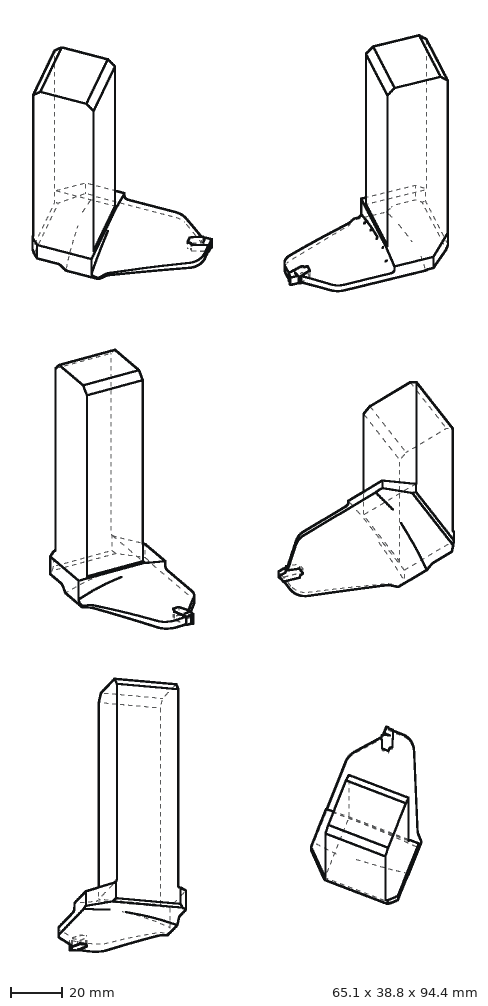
import cadquery as cq
import math


SHANK_SIZE = 25.0
SHANK_FRONT = 4.0
SHANK_BACK = SHANK_FRONT + SHANK_SIZE
SHANK_TOP = 94.39
SHANK_CHAMFER = 3.0

HEAD_DEPTH = 38.75
HEAD_LEDGE = 0.55
HEAD_RIGHT = SHANK_SIZE + HEAD_LEDGE
BEVEL_REACH = 5.0
SHELF_Z = 10.5
FRONT_FILLET = 0.5
BACK_FILLET = 1.3
BACK_SLOPE = math.radians(10)
BACK_EDGE_Z = 8.7
FRONT_CORNER = 3.1
HEAD_LEFT_BACK = 29.3
BACK_CORNER = HEAD_DEPTH - HEAD_LEFT_BACK
PAD_Z = 2.7
PAD_END = 12.3
PAD_EDGE_CHAMFER = 1.1
STEP_FILLET = 2.0
STEP_ANGLE = math.radians(45)
RELIEF_MARGIN = 1.0

CREST_Y = 28.5
BLADE_TOP_Z = 6.15
BLADE_TOP_RADIUS = 78.0
BLADE_BOTTOM_RADIUS = CREST_Y**2 / (2 * PAD_Z) + PAD_Z / 2
BLADE_END = 64.6
BLADE_ROOT_FILLET = 1.4
BLADE_FRONT_START = 28.5
FRONT_EDGE_KNEE = (31.1, 2.6)
FRONT_EDGE_ANGLE = math.radians(23.8)
KNEE_RADIUS = 5.4
NOSE_RADIUS = 7.0
BACK_EDGE_KNEE_X = 49.2
BACK_EDGE_ANGLE = math.radians(40)
BACK_KNEE_RADIUS = 8.0

TIP_X = 65.1
TIP_BACK = 29.0
TIP_FRONT = 26.4
TIP_LEFT = 61.7
TIP_WALL_TOP_X = 62.3
INSERT_BOTTOM_Z = 2.5
INSERT_TOP_Z = 6.2
TIP_TOP_Z = 6.5
FLANK_X = 64.8
FLANK_Y = 28.0
INSERT_LEFT = 56.4
INSERT_LEFT_FRONT = 24.7
INSERT_LEFT_BACK = 27.3
INSERT_NOTCH = (57.7, INSERT_LEFT_FRONT)
INSERT_FRONT_CORNER = (58.45, 23.9)
INSERT_FRONT_RIGHT = (FLANK_X, 26.0)
INSERT_BACK_CORNER = (61.2, 29.5)


def circle_z(y, crest_z, radius):
    """Height at y of an arched face with its crest at CREST_Y."""
    return crest_z - radius + math.sqrt(radius**2 - (y - CREST_Y) ** 2)


def arch_point(y, crest_z, radius):
    return (y, circle_z(y, crest_z, radius))


def bottom_point(y):
    return arch_point(y, PAD_Z, BLADE_BOTTOM_RADIUS)


def top_point(y):
    return arch_point(y, BLADE_TOP_Z, BLADE_TOP_RADIUS)


def make_plan():
    """Vertical prism with the plan outline of head and blade."""
    nose_y = FRONT_EDGE_KNEE[1] + (BLADE_END - FRONT_EDGE_KNEE[0]) * math.tan(FRONT_EDGE_ANGLE)
    end_back_y = HEAD_DEPTH - (BLADE_END - BACK_EDGE_KNEE_X) * math.tan(BACK_EDGE_ANGLE)
    outline = [
        (0, FRONT_CORNER),
        (FRONT_CORNER, 0),
        (BLADE_FRONT_START, 0),
        FRONT_EDGE_KNEE,
        (BLADE_END, nose_y),
        (BLADE_END, end_back_y),
        (BACK_EDGE_KNEE_X, HEAD_DEPTH),
        (BACK_CORNER, HEAD_DEPTH),
        (0, HEAD_LEFT_BACK),
    ]
    plan = cq.Workplane("XY").polyline(outline).close().extrude(SHANK_TOP)
    for corner, radius in (
        (FRONT_EDGE_KNEE, KNEE_RADIUS),
        ((BLADE_END, nose_y), NOSE_RADIUS),
        ((BACK_EDGE_KNEE_X, HEAD_DEPTH), BACK_KNEE_RADIUS),
    ):
        nearest = cq.selectors.NearestToPointSelector((*corner, SHANK_TOP / 2))
        plan = plan.edges(nearest).fillet(radius)
    return plan


def make_shank():
    shank = (
        cq.Workplane("XY")
        .workplane(offset=SHELF_Z)
        .box(SHANK_SIZE, SHANK_SIZE, SHANK_TOP - SHELF_Z, centered=False)
        .translate((0, SHANK_FRONT, 0))
    )
    return shank.faces(">Z").edges("|Y").chamfer(SHANK_CHAMFER)


def make_head():
    """Head section extruded along X, rounded into the front and back of the shank."""
    front_mid = FRONT_FILLET * (1 - math.sqrt(0.5))
    slope_at_shank = BACK_EDGE_Z + (HEAD_DEPTH - SHANK_BACK) * math.tan(BACK_SLOPE)
    centre_y = SHANK_BACK + BACK_FILLET
    centre_z = slope_at_shank - BACK_FILLET * math.tan(BACK_SLOPE) + BACK_FILLET / math.cos(BACK_SLOPE)

    def back_arc(angle):
        """Point on the back fillet, with the angle measured from the downward direction."""
        return (centre_y - BACK_FILLET * math.sin(angle), centre_z - BACK_FILLET * math.cos(angle))

    head = (
        cq.Workplane("YZ")
        .moveTo(*bottom_point(0))
        .lineTo(0, SHELF_Z)
        .lineTo(SHANK_FRONT - FRONT_FILLET, SHELF_Z)
        .threePointArc(
            (SHANK_FRONT - front_mid, SHELF_Z + front_mid),
            (SHANK_FRONT, SHELF_Z + FRONT_FILLET),
        )
        .lineTo(SHANK_BACK, centre_z)
        .threePointArc(back_arc(math.pi / 4), back_arc(BACK_SLOPE))
        .lineTo(HEAD_DEPTH, BACK_EDGE_Z)
        .lineTo(*bottom_point(HEAD_DEPTH))
        .threePointArc(bottom_point(HEAD_DEPTH / 2), bottom_point(0))
        .close()
        .extrude(HEAD_RIGHT)
    )
    ledge_bevel = (
        cq.Workplane("XZ")
        .moveTo(HEAD_RIGHT, SHELF_Z)
        .lineTo(HEAD_RIGHT, SHELF_Z + BEVEL_REACH)
        .lineTo(SHANK_SIZE, SHELF_Z + BEVEL_REACH)
        .lineTo(SHANK_SIZE, SHELF_Z + HEAD_LEDGE)
        .close()
        .extrude(-HEAD_DEPTH)
    )
    return head.cut(ledge_bevel)


def make_blade():
    return (
        cq.Workplane("YZ")
        .moveTo(*bottom_point(0))
        .lineTo(*top_point(0))
        .threePointArc(top_point(HEAD_DEPTH / 2), top_point(HEAD_DEPTH))
        .lineTo(*bottom_point(HEAD_DEPTH))
        .threePointArc(bottom_point(HEAD_DEPTH / 2), bottom_point(0))
        .close()
        .extrude(TIP_X)
    )


def make_pad_relief():
    """Material removed under the flat seat, with a bevelled left edge and a filleted 45 degree step."""
    step_end = PAD_END + PAD_Z / math.tan(STEP_ANGLE)
    fillet_start = PAD_END - STEP_FILLET * math.tan(STEP_ANGLE / 2)

    def fillet_point(angle):
        return (fillet_start + STEP_FILLET * math.sin(angle), PAD_Z - STEP_FILLET * (1 - math.cos(angle)))

    return (
        cq.Workplane("XZ")
        .moveTo(0, PAD_Z + PAD_EDGE_CHAMFER)
        .lineTo(PAD_EDGE_CHAMFER, PAD_Z)
        .lineTo(fillet_start, PAD_Z)
        .threePointArc(fillet_point(STEP_ANGLE / 2), fillet_point(STEP_ANGLE))
        .lineTo(step_end, 0)
        .lineTo(step_end, -RELIEF_MARGIN)
        .lineTo(0, -RELIEF_MARGIN)
        .close()
        .extrude(-HEAD_DEPTH)
    )


def make_tip():
    """Wedge on top of the insert, with a sloping wall on its left."""
    wedge = (
        cq.Workplane("YZ")
        .moveTo(TIP_FRONT, INSERT_TOP_Z)
        .lineTo(TIP_BACK, INSERT_TOP_Z)
        .lineTo(TIP_BACK, TIP_TOP_Z)
        .close()
        .extrude(TIP_X)
    )
    outline = [
        (TIP_LEFT, TIP_BACK),
        (TIP_X, TIP_BACK),
        (TIP_X, FLANK_Y),
        (FLANK_X, FLANK_Y),
        (FLANK_X, TIP_FRONT),
        (TIP_WALL_TOP_X, TIP_FRONT),
    ]
    prism = cq.Workplane("XY").polyline(outline).close().extrude(TIP_TOP_Z)
    wall_corner = cq.Vector(TIP_LEFT, TIP_BACK, INSERT_TOP_Z)
    along_foot = cq.Vector(TIP_WALL_TOP_X, TIP_FRONT, INSERT_TOP_Z) - wall_corner
    up_wall = cq.Vector(TIP_WALL_TOP_X, TIP_BACK, TIP_TOP_Z) - wall_corner
    wall = cq.Plane(origin=wall_corner, xDir=along_foot, normal=along_foot.cross(up_wall))
    wall_size = 2 * along_foot.Length
    outside = cq.Workplane(wall).rect(wall_size, wall_size).extrude(wall_size)
    return wedge.intersect(prism).cut(outside)


def make_insert():
    """Insert that fills the blade thickness, with a raised cutting tip."""
    outline = [
        (INSERT_LEFT, INSERT_LEFT_BACK),
        INSERT_BACK_CORNER,
        (TIP_LEFT, TIP_BACK),
        (TIP_X, TIP_BACK),
        (TIP_X, FLANK_Y),
        (FLANK_X, FLANK_Y),
        INSERT_FRONT_RIGHT,
        INSERT_FRONT_CORNER,
        INSERT_NOTCH,
        (INSERT_LEFT, INSERT_LEFT_FRONT),
    ]
    body = (
        cq.Workplane("XY")
        .workplane(offset=INSERT_BOTTOM_Z)
        .polyline(outline)
        .close()
        .extrude(INSERT_TOP_Z - INSERT_BOTTOM_Z)
    )
    return body.union(make_tip())


insert = make_insert()
root = cq.selectors.NearestToPointSelector((HEAD_RIGHT, *top_point(HEAD_DEPTH / 2)))
holder = make_head().union(make_blade())
holder = holder.edges(root).fillet(BLADE_ROOT_FILLET)
holder = holder.intersect(make_plan())
holder = holder.union(make_shank()).cut(make_pad_relief()).cut(insert)
result = cq.Compound.makeCompound([holder.val(), insert.val()])